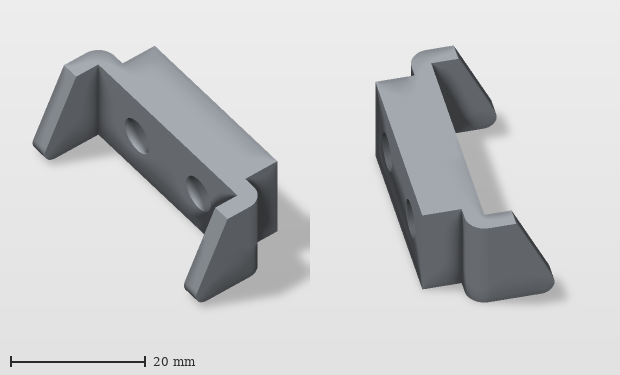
import cadquery as cq
import math

length = 40.0
depth = 19.0
height = 15.0

wall = 3.0
block_length = 30.0
block_depth = 6.0
bend_radius = 3.0

tip_radius = 2.0
slope_angle = math.radians(25.0)

hole_diameter = 6.0
hole_spacing = 15.0

bracket_back = depth - block_depth
web_front = bracket_back - wall

tangent_y = tip_radius * (1 - math.cos(slope_angle))
tangent_z = tip_radius * (1 + math.sin(slope_angle))
arm_top_y = tangent_y + (height - tangent_z) * math.tan(slope_angle)
tip_point = (0, tip_radius)


def make_channel():
    """U-shaped channel with rounded outer bends and square arm ends."""
    outer = (
        cq.Workplane("XY")
        .box(length, bracket_back, height, centered=(True, False, False))
        .edges("|Z and >Y")
        .fillet(bend_radius)
    )
    inner = cq.Workplane("XY").box(
        length - 2 * wall, web_front, height, centered=(True, False, False)
    )
    return outer.cut(inner)


def make_side_profile():
    """Side outline with sloped, rounded arm tips, spanning the full length."""
    return (
        cq.Workplane("YZ")
        .moveTo(bracket_back, 0)
        .lineTo(tip_radius, 0)
        .threePointArc(tip_point, (tangent_y, tangent_z))
        .lineTo(arm_top_y, height)
        .lineTo(bracket_back, height)
        .close()
        .extrude(length / 2, both=True)
    )


def make_block():
    """Backing block behind the channel web."""
    return (
        cq.Workplane("XY")
        .workplane(origin=(0, bracket_back - wall / 2, 0))
        .box(block_length, block_depth + wall / 2, height, centered=(True, False, False))
    )


def make_holes():
    """Pair of round holes through the web and the block."""
    return (
        cq.Workplane("XZ")
        .pushPoints([(side * hole_spacing / 2, height / 2) for side in (-1, 1)])
        .circle(hole_diameter / 2)
        .extrude(-depth)
    )


bracket = make_channel().intersect(make_side_profile())
result = bracket.union(make_block()).cut(make_holes())